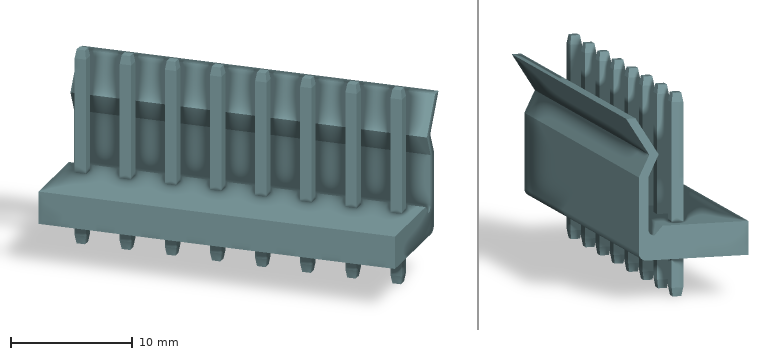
import cadquery as cq
import math

length = 31.28
base_height = 2.85
wall_back = 9.48
wall_thickness = 0.85
wall_front = wall_back - wall_thickness
heel_radius = 0.65

ramp_start = 7.4
groove_floor = 2.05
groove_radius = 0.5

knee_height = 7.0
nose_height = 8.85
nose_front = 7.75
nose_back = 8.57
lip_height = 11.98
lip_back = 10.57
lip_thickness = 0.8

pin_count = 8
end_margin = 1.78
pin_pitch = (length - 2 * end_margin) / (pin_count - 1)
pin_width = 1.0
pin_y = 5.72
pin_top = 13.67
pin_bottom = -3.4
tip_height = 0.75
tip_width = 0.75


def make_housing():
    """Base, latch wall and latch arm as one extruded side profile."""
    profile = (
        cq.Workplane("YZ")
        .lineTo(wall_back, 0)
        .lineTo(wall_back, knee_height)
        .lineTo(nose_back, nose_height)
        .lineTo(lip_back, lip_height)
        .lineTo(lip_back - lip_thickness, lip_height)
        .lineTo(nose_front, nose_height)
        .lineTo(wall_front, knee_height)
        .lineTo(wall_front, groove_floor + groove_radius)
        .tangentArcPoint((wall_front - groove_radius, groove_floor), relative=False)
        .lineTo(ramp_start, base_height)
        .lineTo(0, base_height)
        .close()
    )
    body = profile.extrude(length / 2, both=True)
    heel = cq.selectors.NearestToPointSelector((0, wall_back, 0))
    return body.edges("|X").edges(heel).fillet(heel_radius)


def make_pin(x):
    """Square pin with both ends tapered to a smaller square."""
    shaft_bottom = pin_bottom + tip_height
    shaft_height = pin_top - tip_height - shaft_bottom
    taper_angle = math.degrees(math.atan2((pin_width - tip_width) / 2, tip_height))
    shaft = cq.Workplane(origin=(x, pin_y, shaft_bottom)).rect(pin_width, pin_width).extrude(shaft_height)
    upper_tip = shaft.faces(">Z").wires().toPending().extrude(tip_height, taper=taper_angle, combine=False)
    pin_middle = (x, pin_y, (pin_top + pin_bottom) / 2)
    lower_tip = upper_tip.mirror("XY", pin_middle)
    return shaft.union(upper_tip).union(lower_tip)


result = make_housing()
for index in range(pin_count):
    pin_x = -length / 2 + end_margin + index * pin_pitch
    result = result.union(make_pin(pin_x))